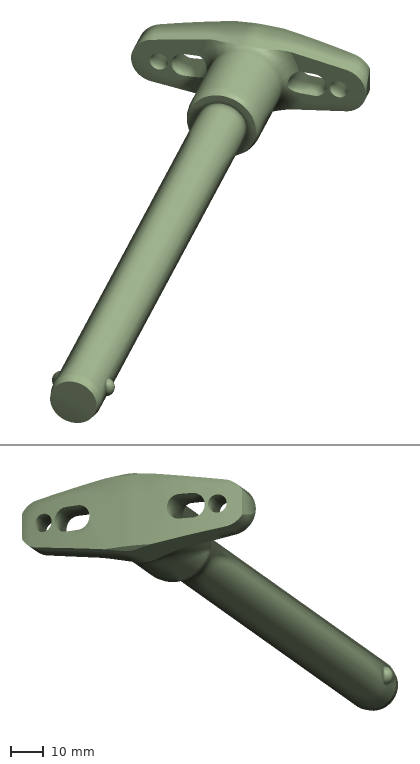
import cadquery as cq
import math

LENGTH = 206.2

HANDLE_SPAN = 74.9
HUB_RADIUS = 12.4
HANDLE_END_RADIUS = 7.6
CROWN_RADIUS = 183.5
CROWN_CHAMFER = 1.2
PLATE_DEPTH = 11.1
PLATE_DEPTH_AT_END = 12.2
END_LEAN_ANGLE = 8.0
SLOT_INNER_X = 12.8
SLOT_OUTER_X = 24.7
SLOT_WIDTH = 7.8
EYELET_X = 28.7
EYELET_DIAMETER = 5.8

COLLAR_RADIUS = 11.8
COLLAR_FILLET = 5.8
COLLAR_DEPTH = 41.9
COLLAR_TAPER_LENGTH = 3.0
COLLAR_CHAMFER_LENGTH = 1.5
COLLAR_CHAMFER_TOP_RADIUS = 11.5
COLLAR_END_RADIUS = 11.0

SHANK_RADIUS = 8.0
TIP_TAPER_LENGTH = 3.0
TIP_RADIUS = 7.5
BALL_RADIUS = 2.9
BALL_REACH = 10.0
BALL_Y = 11.1

HALF_SPAN = HANDLE_SPAN / 2
END_CENTER_X = HALF_SPAN - HANDLE_END_RADIUS
FILLET_OUTER_RADIUS = COLLAR_RADIUS + COLLAR_FILLET
UNDERSIDE_Y = LENGTH - PLATE_DEPTH
END_UNDERSIDE_Y = LENGTH - PLATE_DEPTH_AT_END
FILLET_BASE_Y = UNDERSIDE_Y - COLLAR_FILLET
COLLAR_BASE_Y = LENGTH - COLLAR_DEPTH


def handle_outline():
    """Full-height prism of the handle outline: a hub circle tapering to two round ends."""
    lean = math.asin((HUB_RADIUS - HANDLE_END_RADIUS) / END_CENTER_X)
    hub_x = HUB_RADIUS * math.sin(lean)
    hub_z = HUB_RADIUS * math.cos(lean)
    end_x = END_CENTER_X + HANDLE_END_RADIUS * math.sin(lean)
    end_z = HANDLE_END_RADIUS * math.cos(lean)
    return (
        cq.Workplane("XZ")
        .moveTo(-hub_x, hub_z)
        .threePointArc((0, HUB_RADIUS), (hub_x, hub_z))
        .lineTo(end_x, end_z)
        .threePointArc((HALF_SPAN, 0), (end_x, -end_z))
        .lineTo(hub_x, -hub_z)
        .threePointArc((0, -HUB_RADIUS), (-hub_x, -hub_z))
        .lineTo(-end_x, -end_z)
        .threePointArc((-HALF_SPAN, 0), (-end_x, end_z))
        .close()
        .extrude(-LENGTH)
    )


def plate_side_profile():
    """Slab with an arched crown, leaning ends and an underside that slopes outside the hub."""
    crown_drop = CROWN_RADIUS - math.sqrt(CROWN_RADIUS**2 - HALF_SPAN**2)
    end_height = PLATE_DEPTH_AT_END - crown_drop
    shoulder_x = HALF_SPAN - end_height * math.tan(math.radians(END_LEAN_ANGLE))
    shoulder_y = LENGTH - CROWN_RADIUS + math.sqrt(CROWN_RADIUS**2 - shoulder_x**2)
    return (
        cq.Workplane("XY")
        .moveTo(-shoulder_x, shoulder_y)
        .threePointArc((0, LENGTH), (shoulder_x, shoulder_y))
        .lineTo(HALF_SPAN, END_UNDERSIDE_Y)
        .lineTo(HUB_RADIUS, UNDERSIDE_Y)
        .lineTo(-HUB_RADIUS, UNDERSIDE_Y)
        .lineTo(-HALF_SPAN, END_UNDERSIDE_Y)
        .close()
        .extrude(HUB_RADIUS, both=True)
    )


def collar_flare():
    """Concave flare that joins the collar to the plate."""
    bend = COLLAR_FILLET * math.sin(math.radians(45))
    return (
        cq.Workplane("XY")
        .moveTo(0, FILLET_BASE_Y)
        .lineTo(COLLAR_RADIUS, FILLET_BASE_Y)
        .threePointArc(
            (FILLET_OUTER_RADIUS - bend, FILLET_BASE_Y + bend),
            (FILLET_OUTER_RADIUS, UNDERSIDE_Y),
        )
        .lineTo(0, UNDERSIDE_Y)
        .close()
        .revolve(360, (0, 0, 0), (0, 1, 0))
    )


def crown_chamfer_cutter():
    """Prism whose 45 degree face trims the crown edge where the handle is widest."""
    return (
        cq.Workplane("YZ")
        .moveTo(LENGTH, HUB_RADIUS - CROWN_CHAMFER)
        .lineTo(LENGTH, HUB_RADIUS)
        .lineTo(LENGTH - CROWN_CHAMFER, HUB_RADIUS)
        .close()
        .extrude(HALF_SPAN, both=True)
    )


def handle_openings():
    """A slot and an eyelet on each side of the collar, through the plate along Y."""
    slot_length = SLOT_OUTER_X - SLOT_INNER_X
    slot_x = (SLOT_OUTER_X + SLOT_INNER_X) / 2
    slots = (
        cq.Workplane("XZ")
        .pushPoints([(-slot_x, 0), (slot_x, 0)])
        .slot2D(slot_length, SLOT_WIDTH)
        .extrude(-LENGTH)
    )
    eyelets = (
        cq.Workplane("XZ")
        .pushPoints([(-EYELET_X, 0), (EYELET_X, 0)])
        .circle(EYELET_DIAMETER / 2)
        .extrude(-LENGTH)
    )
    return slots.union(eyelets)


def handle():
    body = plate_side_profile().union(collar_flare()).intersect(handle_outline())
    chamfer = crown_chamfer_cutter()
    return body.cut(chamfer).cut(chamfer.mirror("XY")).cut(handle_openings())


def collar_and_shank():
    """Turned profile of the collar and the shank, revolved about the pin axis."""
    return (
        cq.Workplane("XY")
        .lineTo(TIP_RADIUS, 0)
        .lineTo(SHANK_RADIUS, TIP_TAPER_LENGTH)
        .lineTo(SHANK_RADIUS, COLLAR_BASE_Y)
        .lineTo(COLLAR_END_RADIUS, COLLAR_BASE_Y)
        .lineTo(COLLAR_CHAMFER_TOP_RADIUS, COLLAR_BASE_Y + COLLAR_CHAMFER_LENGTH)
        .lineTo(COLLAR_RADIUS, COLLAR_BASE_Y + COLLAR_TAPER_LENGTH)
        .lineTo(COLLAR_RADIUS, UNDERSIDE_Y)
        .lineTo(0, UNDERSIDE_Y)
        .close()
        .revolve(360, (0, 0, 0), (0, 1, 0))
    )


def locking_balls():
    ball_x = BALL_REACH - BALL_RADIUS
    return (
        cq.Workplane("XY")
        .pushPoints([(-ball_x, BALL_Y), (ball_x, BALL_Y)])
        .sphere(BALL_RADIUS)
    )


result = handle().union(collar_and_shank()).union(locking_balls())